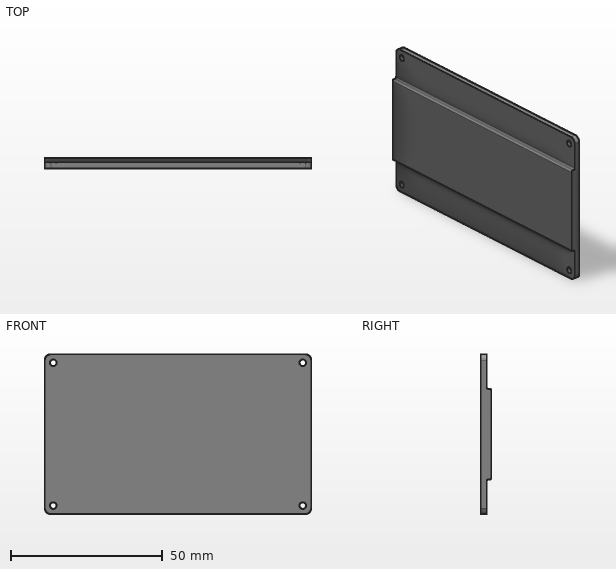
import cadquery as cq

plate_length = 88.0
plate_height = 52.8
plate_thickness = 2.0
corner_radius = 2.0

pad_height = 30.0
total_thickness = 3.5
pad_edge_radius = 0.5
pad_root_radius = 0.5

hole_diameter = 2.1
hole_inset = 2.825


def make_plate():
    """Flat plate with rounded corners; its front face lies on Y = 0."""
    plate = cq.Workplane("XY").box(
        plate_length, plate_thickness, plate_height, centered=(True, False, True)
    )
    return plate.edges("|Y").fillet(corner_radius)


def make_pad():
    """Full-length band on the back, with rounded outer edges and blended roots."""
    half_height = pad_height / 2
    root_half_height = half_height + pad_root_radius
    root_top = plate_thickness + pad_root_radius
    edge_start = total_thickness - pad_edge_radius
    edge_half_height = half_height - pad_edge_radius

    profile = (
        cq.Workplane("YZ", origin=(-plate_length / 2, 0, 0))
        .moveTo(0, -root_half_height)
        .lineTo(plate_thickness, -root_half_height)
        .radiusArc((root_top, -half_height), pad_root_radius)
        .lineTo(edge_start, -half_height)
        .radiusArc((total_thickness, -edge_half_height), -pad_edge_radius)
        .lineTo(total_thickness, edge_half_height)
        .radiusArc((edge_start, half_height), -pad_edge_radius)
        .lineTo(root_top, half_height)
        .radiusArc((plate_thickness, root_half_height), pad_root_radius)
        .lineTo(0, root_half_height)
        .close()
    )
    return profile.extrude(plate_length)


def make_hole_cutters():
    """Four through-hole cylinders, one near each plate corner."""
    return (
        cq.Workplane("XZ")
        .rect(plate_length - 2 * hole_inset, plate_height - 2 * hole_inset, forConstruction=True)
        .vertices()
        .circle(hole_diameter / 2)
        .extrude(-plate_thickness)
    )


result = make_plate().union(make_pad()).cut(make_hole_cutters())